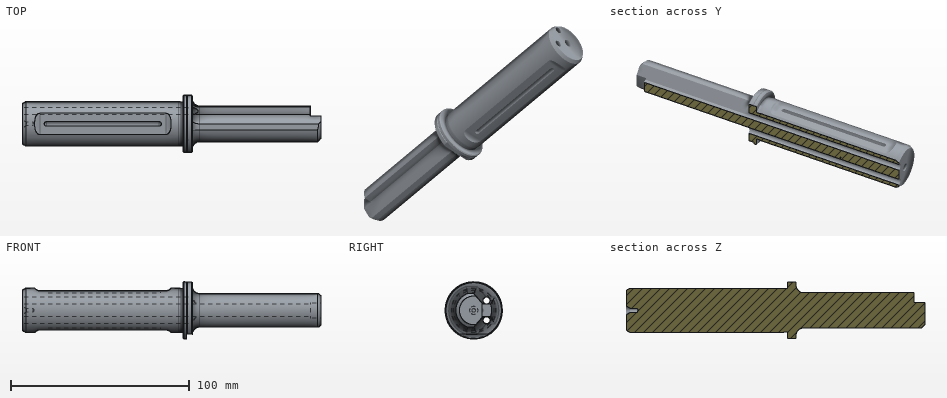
import cadquery as cq
import math

flange_start = 89.8
flange_groove_x = 92.1
flange_end = 95.0
rib_end = 161.0
tool_end = 167.0

shank_radius = 12.5
shank_chamfer_length = 2.0
shank_chamfer_depth = 1.2
relief_start = 87.2
relief_floor_start = 88.6
relief_depth = 0.2

flange_radius = 16.0
flange_chamfer = 0.5
flange_groove_depth = 0.3
notch_height = 13.3
notch_start = flange_groove_x - flange_groove_depth

body_radius = 10.0
body_chamfer = 2.0
body_flat_height = 9.4
rib_half_thickness = 3.5
rib_root_y = 5.1
seat_y = 4.5
root_fillet = 4.0

flat_height = 11.0
flat_floor_start = 9.8
flat_floor_end = 80.2
flat_end_radius = 3.7

groove_start = 12.2
groove_end = 77.7
groove_radius = 1.25

coolant_diameter = 3.9
coolant_y = 7.15
coolant_z = 5.5
centre_mouth_radius = 2.3
centre_pilot_radius = 1.0
centre_countersink_depth = 2.2
centre_depth = 6.0
centre_tip_angle = math.radians(30)


def revolve_about_x(points):
    """Revolve a closed (x, radius) outline about the tool axis."""
    return cq.Workplane("XY").polyline(points).close().revolve(360, (0, 0, 0), (1, 0, 0))


def make_shank_and_flange():
    relief_radius = shank_radius - relief_depth
    rim_radius = flange_radius - flange_chamfer
    return revolve_about_x([
        (0, 0),
        (0, shank_radius - shank_chamfer_depth),
        (shank_chamfer_length, shank_radius),
        (relief_start, shank_radius),
        (relief_floor_start, relief_radius),
        (flange_start, relief_radius),
        (flange_start, rim_radius),
        (flange_start + flange_chamfer, flange_radius),
        (flange_groove_x - flange_groove_depth, flange_radius),
        (flange_groove_x, flange_radius - flange_groove_depth),
        (flange_groove_x + flange_groove_depth, flange_radius),
        (flange_end - flange_chamfer, flange_radius),
        (flange_end, rim_radius),
        (flange_end, 0),
    ])


def make_body_section():
    """Body cross-section: a flatted round with a V flute above and below a rib on the +Y side."""
    flat_half_width = math.sqrt(body_radius**2 - body_flat_height**2)
    rib_tip_y = math.sqrt(body_radius**2 - rib_half_thickness**2)
    return (
        cq.Workplane("YZ", origin=(flange_end, 0, 0))
        .moveTo(0, body_flat_height)
        .lineTo(-flat_half_width, body_flat_height)
        .threePointArc((-body_radius, 0), (-flat_half_width, -body_flat_height))
        .lineTo(0, -body_flat_height)
        .lineTo(rib_root_y, -rib_half_thickness)
        .lineTo(rib_tip_y, -rib_half_thickness)
        .threePointArc((body_radius, 0), (rib_tip_y, rib_half_thickness))
        .lineTo(rib_root_y, rib_half_thickness)
        .close()
    )


def add_fluted_body(part):
    """Join the fluted body to the flange and fillet the edges where they meet."""
    select_margin = 0.1
    body = make_body_section().extrude(tool_end - flange_end)
    envelope = revolve_about_x([
        (flange_end, 0),
        (flange_end, body_radius),
        (tool_end - body_chamfer, body_radius),
        (tool_end, body_radius - body_chamfer),
        (tool_end, 0),
    ])
    seat = cq.Workplane("XY").box(
        tool_end - rib_end, body_radius, 2 * body_radius, centered=(False, False, True)
    ).translate((rib_end, seat_y, 0))
    body = body.intersect(envelope).cut(seat)
    root = cq.selectors.BoxSelector(
        (flange_end - select_margin, -body_radius - select_margin, -body_radius - select_margin),
        (flange_end + select_margin, body_radius + select_margin, body_radius + select_margin),
        boundingbox=True,
    )
    return part.union(body).edges(root).fillet(root_fillet)


def make_flat_cutter():
    """Cutter above the upper clamping flat, with both floor ends rounded up to the surface."""
    start = flat_floor_start - flat_end_radius
    end = flat_floor_end + flat_end_radius
    return (
        cq.Workplane("XZ")
        .moveTo(flat_floor_start, flat_height)
        .lineTo(flat_floor_end, flat_height)
        .radiusArc((end, flat_height + flat_end_radius), -flat_end_radius)
        .lineTo(start, flat_height + flat_end_radius)
        .radiusArc((flat_floor_start, flat_height), -flat_end_radius)
        .close()
        .extrude(shank_radius, both=True)
    )


def make_groove_cutter():
    """Round-bottomed groove with ball ends along the middle of the upper flat."""
    first = groove_start + groove_radius
    last = groove_end - groove_radius
    outline = (
        cq.Workplane("XY")
        .moveTo(groove_start, 0)
        .radiusArc((first, groove_radius), groove_radius)
        .lineTo(last, groove_radius)
        .radiusArc((groove_end, 0), groove_radius)
        .close()
    )
    return outline.revolve(360, (0, 0, 0), (1, 0, 0)).translate((0, 0, flat_height))


def cut_flats(part):
    for cutter in (make_flat_cutter(), make_groove_cutter()):
        part = part.cut(cutter).cut(cutter.mirror("XY"))
    return part


def cut_flange_notch(part):
    """Flat on the underside of the front half of the flange."""
    notch = cq.Workplane("XY").box(
        flange_end - notch_start, 2 * flange_radius, flange_radius, centered=(False, True, False)
    )
    return part.cut(notch.translate((notch_start, 0, -notch_height - flange_radius)))


def cut_coolant_holes(part):
    holes = (
        cq.Workplane("YZ")
        .pushPoints([(coolant_y, coolant_z), (coolant_y, -coolant_z)])
        .circle(coolant_diameter / 2)
        .extrude(tool_end)
    )
    return part.cut(holes)


def cut_centre_hole(part):
    tip_depth = centre_depth + centre_pilot_radius * math.tan(centre_tip_angle)
    return part.cut(revolve_about_x([
        (0, 0),
        (0, centre_mouth_radius),
        (centre_countersink_depth, centre_pilot_radius),
        (centre_depth, centre_pilot_radius),
        (tip_depth, 0),
    ]))


result = make_shank_and_flange()
result = add_fluted_body(result)
result = cut_flats(result)
result = cut_flange_notch(result)
result = cut_coolant_holes(result)
result = cut_centre_hole(result)